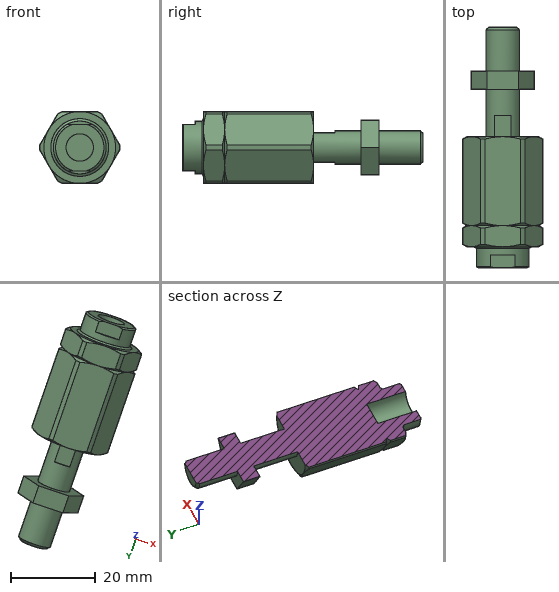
import cadquery as cq
import math

total_length = 57.0
socket_flat_end = 3.0
flare_start = 4.6
cap_start = 5.0
body_start = 10.05
body_end = 31.05
rod_flat_end = 36.1
nut_start = 42.25
nut_end = 46.55

hex_across_flats = 17.0
hex_corner_diameter = 19.0
hex_chamfer_angle = 30.0

socket_diameter = 12.5
socket_across_flats = 11.0
socket_chamfer_length = 0.35
socket_chamfer_width = 0.5
flare_diameter = 13.7
bore_diameter = 6.5
bore_depth = 10.0

rod_diameter = 8.0
rod_across_flats = 7.0
rod_chamfer = 0.7
nut_across_flats = 13.0


def revolve_profile(points):
    """Revolve a (radius, y) outline about the Y axis."""
    return cq.Workplane("XY").polyline(points).close().revolve(360, (0, 0, 0), (0, 1, 0))


def hex_prism(across_flats, start, end):
    """Hexagon along Y with two flats facing up and down."""
    across_corners = across_flats / math.cos(math.radians(30))
    plane = cq.Workplane("XZ", origin=(0, start, 0))
    return plane.polygon(6, across_corners).extrude(start - end)


def chamfered_hex(start, end):
    """Hexagon with turned corners and a conical chamfer at both ends."""
    face_radius = hex_across_flats / 2
    corner_radius = hex_corner_diameter / 2
    chamfer = (corner_radius - face_radius) * math.tan(math.radians(hex_chamfer_angle))
    envelope = revolve_profile([
        (0, start),
        (face_radius, start),
        (corner_radius, start + chamfer),
        (corner_radius, end - chamfer),
        (face_radius, end),
        (0, end),
    ])
    return hex_prism(hex_across_flats, start, end).intersect(envelope)


def cut_flats(part, diameter, across_flats, start, end):
    """Cut a pair of wrench flats on the +Z and -Z sides."""
    depth = (diameter - across_flats) / 2
    for side in (-1, 1):
        cutter = cq.Workplane("XY").box(diameter, end - start, depth)
        middle_z = side * (across_flats + depth) / 2
        part = part.cut(cutter.translate((0, (start + end) / 2, middle_z)))
    return part


def make_socket():
    """Flared round end with wrench flats."""
    radius = socket_diameter / 2
    socket = revolve_profile([
        (0, 0),
        (radius - socket_chamfer_width, 0),
        (radius, socket_chamfer_length),
        (radius, flare_start),
        (flare_diameter / 2, cap_start),
        (0, cap_start),
    ])
    return cut_flats(socket, socket_diameter, socket_across_flats, 0, socket_flat_end)


def make_rod():
    """Round rod with a chamfered tip and wrench flats beside the body."""
    radius = rod_diameter / 2
    rod = revolve_profile([
        (0, body_end),
        (radius, body_end),
        (radius, total_length - rod_chamfer),
        (radius - rod_chamfer, total_length),
        (0, total_length),
    ])
    return cut_flats(rod, rod_diameter, rod_across_flats, body_end, rod_flat_end)


cap = chamfered_hex(cap_start, body_start)
body = chamfered_hex(body_start, body_end)
lock_nut = hex_prism(nut_across_flats, nut_start, nut_end)
bore = cq.Workplane("XZ").circle(bore_diameter / 2).extrude(-bore_depth)

result = make_socket().union(cap).union(body).union(make_rod()).union(lock_nut).cut(bore)